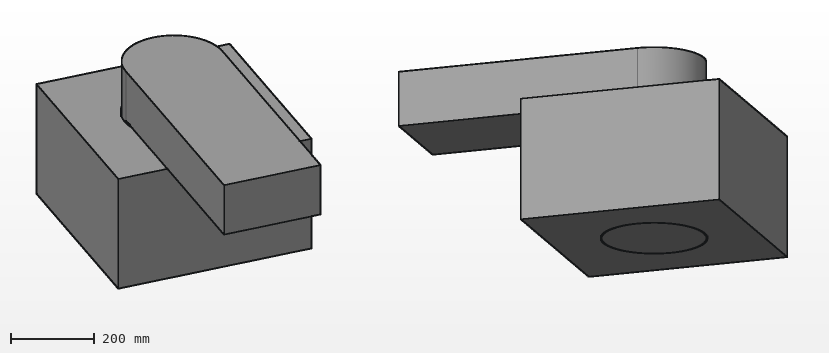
import cadquery as cq

base_side = 500.0
base_height = 300.0
total_length = 850.0
pin_diameter = 250.0
clearance = 2.5
arm_thickness = 135.0

bore_diameter = pin_diameter + 2 * clearance
arm_bottom = base_height + clearance
arm_reach = total_length - base_side / 2


def make_base():
    """Square block with a through bore for the pivot pin."""
    block = cq.Workplane("XY").box(base_side, base_side, base_height, centered=(True, True, False))
    return block.faces(">Z").workplane().hole(bore_diameter)


def make_swing_arm():
    """Round-ended arm with a pivot pin reaching down to the underside of the base."""
    pin_radius = pin_diameter / 2
    arm = (
        cq.Workplane("XY", origin=(0, 0, arm_bottom))
        .moveTo(0, -pin_radius)
        .lineTo(arm_reach, -pin_radius)
        .lineTo(arm_reach, pin_radius)
        .lineTo(0, pin_radius)
        .threePointArc((-pin_radius, 0), (0, -pin_radius))
        .close()
        .extrude(arm_thickness)
    )
    pin = cq.Workplane("XY").circle(pin_radius).extrude(arm_bottom)
    return arm.union(pin).clean()


base = make_base()
swing_arm = make_swing_arm()

result = cq.Compound.makeCompound([base.solids().val(), swing_arm.solids().val()])